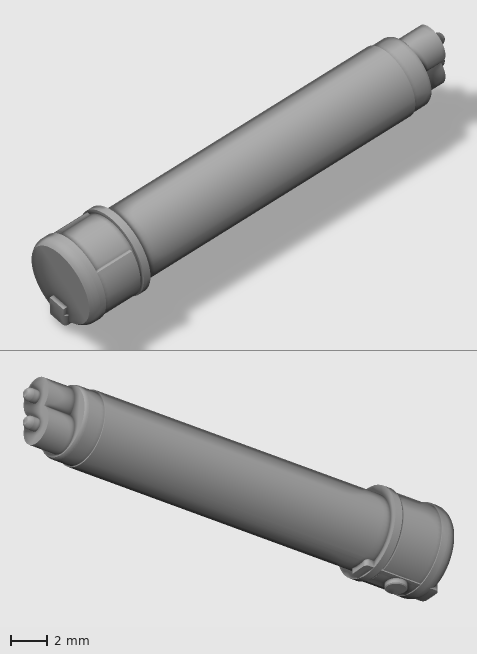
import cadquery as cq

length = 28.0
cap_face = 0.28
cap_round_end = 0.87
panel_start = 1.3
panel_end = 3.85
flange_start = 4.03
flange_end = 4.5
neck_start = 24.15
neck_round_start = 25.2
neck_end = 25.45
pin_start = 27.25
pin_round_start = 27.65

overall_height = 5.7

flange_radius = 2.75
cap_face_radius = 2.5
collar_radius = 2.5
panel_radius = 2.65
tube_radius = 2.27
neck_radius = 2.18
neck_face_radius = 2.1

tube_center = -0.05

panel_top_at_center = 1.48
panel_top_at_side = 2.02

prong_radius = 1.18
prong_offset = 0.9
pin_radius = 0.4
pin_tip_radius = 0.22

latch_bottom = -2.63
latch_top = -1.32
latch_shoulder = -1.88
tab_half_width = 0.6
strap_half_width = 0.73
strap_corner_radius = 0.25
strap_end = 5.07
button_bottom = flange_radius - overall_height
button_radius = 0.65
button_center = 2.45
button_chamfer = 0.05


def cylinder(radius, start, end, z=0.0):
    """Cylinder parallel to Y between two axial stations."""
    plane = cq.Workplane("XZ", origin=(0, start, z))
    return plane.circle(radius).extrude(start - end)


def nosed_cylinder(radius, start, round_start, end, end_radius):
    """Cylinder along Y whose end curves in from the side to a smaller flat face."""
    return (
        cq.Workplane("XY")
        .moveTo(0, start)
        .lineTo(radius, start)
        .lineTo(radius, round_start)
        .tangentArcPoint((end_radius, end), relative=False)
        .lineTo(0, end)
        .close()
        .revolve(360, (0, 0, 0), (0, 1, 0))
    )


def block(half_width, start, end, bottom, top):
    """Box centered on X between axial stations and heights."""
    size = (2 * half_width, end - start, top - bottom)
    return cq.Workplane("XY").box(*size, centered=(True, False, False)).translate((0, start, bottom))


def make_body():
    """Cap, collar, rear flange, tube and neck stacked lengthwise."""
    cap = nosed_cylinder(flange_radius, panel_start, cap_round_end, cap_face, cap_face_radius)
    collar = cylinder(collar_radius, panel_start, flange_start)
    flange = cylinder(flange_radius, flange_start, flange_end)
    tube = cylinder(tube_radius, flange_end, neck_start, tube_center)
    neck = nosed_cylinder(neck_radius, neck_start, neck_round_start, neck_end, neck_face_radius)
    return cap.union(collar).union(flange).union(tube).union(neck.translate((0, 0, tube_center)))


def make_panel():
    """Raised sleeve around the sides and bottom of the collar."""
    lower_part = (
        cq.Workplane("XZ", origin=(0, panel_start, 0))
        .moveTo(0, panel_top_at_center)
        .lineTo(flange_radius, panel_top_at_side)
        .lineTo(flange_radius, -flange_radius)
        .lineTo(-flange_radius, -flange_radius)
        .lineTo(-flange_radius, panel_top_at_side)
        .close()
        .extrude(panel_start - panel_end)
    )
    return cylinder(panel_radius, panel_start, panel_end).intersect(lower_part)


def make_prong(z):
    """Contact prong with a round-nosed pin."""
    pin = nosed_cylinder(pin_radius, neck_end, pin_round_start, length, pin_tip_radius)
    return cylinder(prong_radius, neck_end, pin_start, z).union(pin.translate((0, 0, z)))


def make_latch():
    """Rounded strap through the cap, with a narrow front tab and a round button below."""
    tab = block(tab_half_width, 0, panel_start, latch_shoulder, latch_top)
    strap = block(strap_half_width, 0, strap_end, latch_bottom, latch_shoulder)
    strap = strap.edges("|Z").fillet(strap_corner_radius)
    button = (
        cq.Workplane("XY", origin=(0, button_center, button_bottom))
        .circle(button_radius)
        .extrude(latch_shoulder - button_bottom)
        .faces("<Z")
        .chamfer(button_chamfer)
    )
    return tab.union(strap).union(button)


result = make_body().union(make_panel()).union(make_latch())
for prong_z in (-prong_offset, prong_offset):
    result = result.union(make_prong(prong_z))